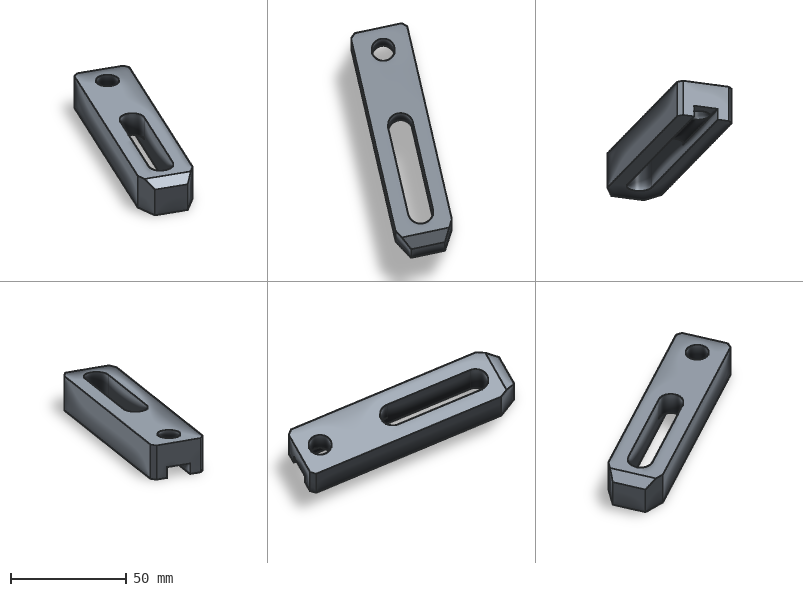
import cadquery as cq
import math

length = 100.0
width = 25.0
height = 16.0

rear_chamfer = 2.0

nose_angle = math.radians(30)
nose_side_depth = 5.0
nose_side_length = nose_side_depth / math.tan(nose_angle)
nose_top_depth = 3.0
nose_top_length = nose_top_depth / math.tan(nose_angle)

screw_hole_diameter = 10.0
screw_hole_x = 10.0

slot_width = 11.0
slot_start_x = 45.0
slot_end_x = 85.0

groove_depth = 5.0


def make_body():
    """Bar with chamfered rear corners and a nose tapered in plan."""
    half_width = width / 2
    nose_half_width = half_width - nose_side_depth
    return (
        cq.Workplane("XY")
        .moveTo(0, half_width - rear_chamfer)
        .lineTo(rear_chamfer, half_width)
        .lineTo(length - nose_side_length, half_width)
        .lineTo(length, nose_half_width)
        .lineTo(length, -nose_half_width)
        .lineTo(length - nose_side_length, -half_width)
        .lineTo(rear_chamfer, -half_width)
        .lineTo(0, -half_width + rear_chamfer)
        .close()
        .extrude(height)
    )


def make_nose_top_cut():
    """Wedge that bevels the top edge of the nose across the full width."""
    return (
        cq.Workplane("XZ")
        .moveTo(length - nose_top_length, height)
        .lineTo(length, height)
        .lineTo(length, height - nose_top_depth)
        .close()
        .extrude(width / 2, both=True)
    )


def make_screw_hole():
    """Plain round hole through the full height."""
    return cq.Workplane("XY").center(screw_hole_x, 0).circle(screw_hole_diameter / 2).extrude(height)


def make_stud_slot():
    """Round-ended slot through the full height."""
    overall_length = slot_end_x - slot_start_x + slot_width
    return (
        cq.Workplane("XY")
        .center((slot_start_x + slot_end_x) / 2, 0)
        .slot2D(overall_length, slot_width)
        .extrude(height)
    )


def make_groove():
    """Underside groove, open at the rear end and running into the stud slot."""
    return cq.Workplane("XY").box(slot_start_x, slot_width, groove_depth, centered=(False, True, False))


result = (
    make_body()
    .cut(make_nose_top_cut())
    .cut(make_screw_hole())
    .cut(make_stud_slot())
    .cut(make_groove())
)